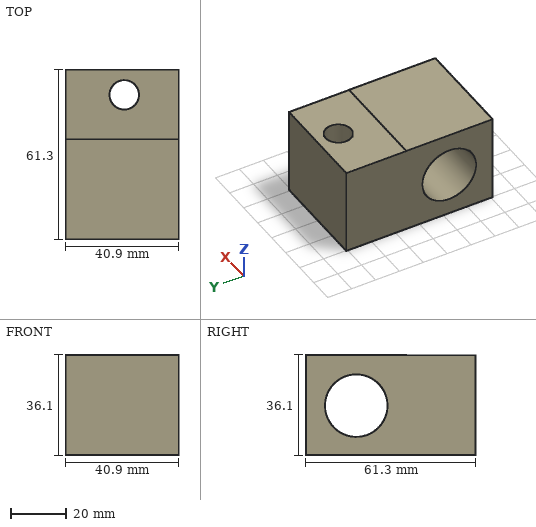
import cadquery as cq

width = 40.9
length = 61.29
height = 36.15

step_y = height
step_depth = 0.06

cross_bore_diameter = 22.5
cross_bore_y = 18.17
cross_bore_z = 17.86

vertical_hole_diameter = 10.56
vertical_hole_x = 21.15
vertical_hole_y = 52.2


def make_block():
    """Stepped side profile extruded across the width."""
    rear_height = height - step_depth
    profile = [
        (0, 0),
        (length, 0),
        (length, rear_height),
        (step_y, rear_height),
        (step_y, height),
        (0, height),
    ]
    return cq.Workplane("YZ").polyline(profile).close().extrude(width)


def make_cross_bore():
    """Cylinder along X through both side faces."""
    return (
        cq.Workplane("YZ")
        .center(cross_bore_y, cross_bore_z)
        .circle(cross_bore_diameter / 2)
        .extrude(width)
    )


def make_vertical_hole():
    """Cylinder along Z through the stepped end."""
    return (
        cq.Workplane("XY")
        .center(vertical_hole_x, vertical_hole_y)
        .circle(vertical_hole_diameter / 2)
        .extrude(height)
    )


result = make_block().cut(make_cross_bore()).cut(make_vertical_hole())